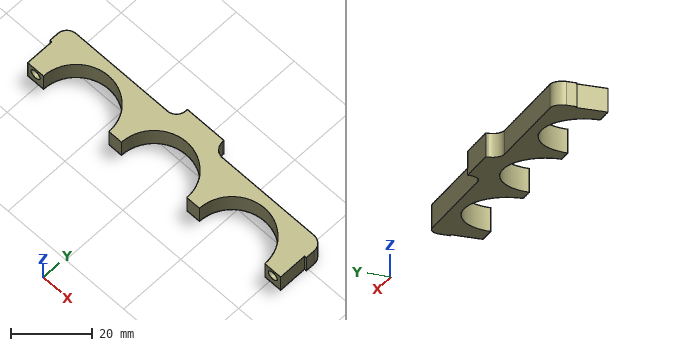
import cadquery as cq

LENGTH = 88.65
DEPTH = 18.09
THICKNESS = 6.35

CORNER_RADIUS = 3.175
PAD_WIDTH = 12.7
PAD_HEIGHT = 3.775
BAR_BACK_Y = DEPTH - PAD_HEIGHT

LEG_INSET = 0.6
LEG_HEIGHT = 8.4

OPENING_DIAMETER = 22.6
OPENING_PITCH = 26.95
OPENING_COUNT = 3

HOLE_DIAMETER = 3.1
HOLE_DEPTH = 10.0
HOLE_SPACING = 82.0
HOLE_COUNT = 2
HOLE_Z = 3.8


def make_bar():
    """Plate with rounded back corners, standing on a slightly narrower leg block."""
    bar = (
        cq.Workplane("XY")
        .box(LENGTH, BAR_BACK_Y - LEG_HEIGHT, THICKNESS, centered=(True, False, False))
        .translate((0, LEG_HEIGHT, 0))
        .edges("|Z and >Y")
        .fillet(CORNER_RADIUS)
    )
    legs = cq.Workplane("XY").box(
        LENGTH - 2 * LEG_INSET, LEG_HEIGHT, THICKNESS, centered=(True, False, False)
    )
    return bar.union(legs)


def make_pad():
    """Central pad whose sides flare into the bar with concave quarter rounds."""
    half_width = PAD_WIDTH / 2
    flare_half_width = half_width + CORNER_RADIUS
    flare_top_y = BAR_BACK_Y + CORNER_RADIUS
    pad = (
        cq.Workplane("XY")
        .box(2 * flare_half_width, DEPTH - LEG_HEIGHT, THICKNESS, centered=(True, False, False))
        .translate((0, LEG_HEIGHT, 0))
    )
    for side in (-1, 1):
        round_cut = (
            cq.Workplane("XY")
            .center(side * flare_half_width, flare_top_y)
            .circle(CORNER_RADIUS)
            .extrude(THICKNESS)
        )
        corner_cut = (
            cq.Workplane("XY")
            .box(CORNER_RADIUS, DEPTH - flare_top_y, THICKNESS, centered=(True, False, False))
            .translate((side * (half_width + CORNER_RADIUS / 2), flare_top_y, 0))
        )
        pad = pad.cut(round_cut).cut(corner_cut)
    return pad


def make_openings():
    """Cylinders centred on the front edge, evenly spaced about X = 0."""
    return (
        cq.Workplane("XY")
        .rarray(OPENING_PITCH, 1, OPENING_COUNT, 1)
        .circle(OPENING_DIAMETER / 2)
        .extrude(THICKNESS)
    )


def make_screw_holes():
    """Blind cylinders running in +Y from the front faces of the end legs."""
    return (
        cq.Workplane("XZ")
        .center(0, HOLE_Z)
        .rarray(HOLE_SPACING, 1, HOLE_COUNT, 1)
        .circle(HOLE_DIAMETER / 2)
        .extrude(-HOLE_DEPTH)
    )


result = make_bar().union(make_pad()).cut(make_openings()).cut(make_screw_holes())